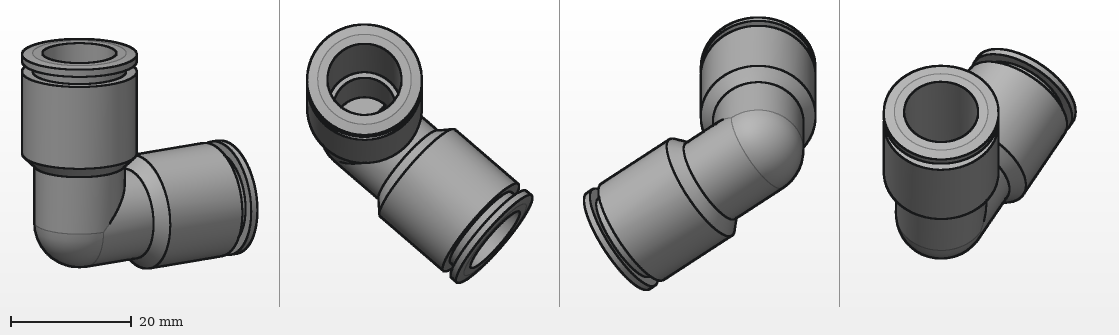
import cadquery as cq

overall_length = 38.5
outer_diameter = 19.0
outer_radius = outer_diameter / 2
arm_length = overall_length - outer_radius

groove_radius = 7.75
neck_radius = 7.5

rim_bevel_depth = 0.2
flange_depth = 1.42
groove_depth = 3.15
socket_depth = 17.2
cone_depth = socket_depth + outer_radius - neck_radius

tube_radius = 6.12
passage_radius = 5.15
dimple_radius = 1.5


def arm_body():
    """Outside of the vertical arm, revolved about Z from the elbow centre up."""
    return (
        cq.Workplane("XZ")
        .moveTo(0, 0)
        .lineTo(neck_radius, 0)
        .lineTo(neck_radius, arm_length - cone_depth)
        .lineTo(outer_radius, arm_length - socket_depth)
        .lineTo(outer_radius, arm_length - groove_depth)
        .lineTo(groove_radius, arm_length - groove_depth)
        .lineTo(groove_radius, arm_length - flange_depth)
        .lineTo(outer_radius, arm_length - flange_depth)
        .lineTo(outer_radius, arm_length - rim_bevel_depth)
        .lineTo(groove_radius, arm_length)
        .lineTo(0, arm_length)
        .close()
        .revolve(360, (0, 0, 0), (0, 1, 0))
    )


def arm_bore():
    """Flat-ended flow passage opening into a wider tube socket."""
    passage = cq.Workplane("XY").circle(passage_radius).extrude(arm_length)
    socket = (
        cq.Workplane("XY")
        .workplane(offset=arm_length - socket_depth)
        .circle(tube_radius)
        .extrude(socket_depth)
    )
    return passage.union(socket)


def toward_y(shape):
    """Turn a vertical arm so that it points along +Y."""
    return shape.rotate((0, 0, 0), (1, 0, 0), -90)


vertical_body = arm_body()
corner = cq.Workplane("XY").sphere(neck_radius)
body = vertical_body.union(toward_y(vertical_body)).union(corner)

vertical_bore = arm_bore()
dimple = cq.Workplane("XY").sphere(dimple_radius)
result = body.cut(vertical_bore).cut(toward_y(vertical_bore)).cut(dimple)